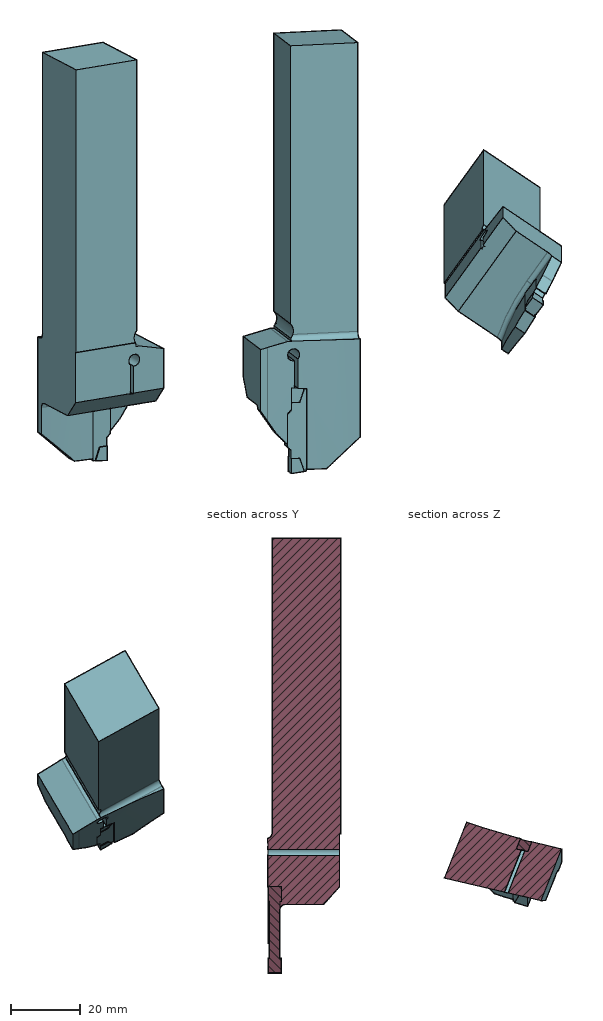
import cadquery as cq
import math

total_height = 125.0
shank_left, shank_right = 2.8, 22.5
shank_depth = 20.0
shank_base = 40.0
head_right = 22.1
head_depth = 29.1
head_floor = 19.8
ledge_height = 38.8
ledge_fillet = 1.8
corner_width, corner_height = 4.6, 5.1
head_back_low, head_back_high = 18.8, 36.8
jaw_bottom = 7.4
jaw_bend_y, jaw_bend_z = 24.5, 12.0

neck_groove_top = 43.6
neck_groove_y, neck_groove_z = 19.1, 41.5
neck_groove_end = 21.1

blade_tip = 1.06
blade_face_x, blade_face_y = 1.6, 27.1
blade_face_radius = 225.0
blade_back_x, blade_back_y = 5.0, 18.8
blade_back_radius = 66.2
blade_root_fillet = 1.5
front_bevel_depth, front_bevel_top = 9.8, 10.1
margin = 2.5

kerf_hole_y, kerf_hole_z, kerf_hole_radius = 19.4, 34.8, 1.8
kerf_front, kerf_back = 18.1, 19.1

insert_length = 25.1
insert_front, insert_back = 15.5, 20.0
belly_back = 21.1
belly_low, belly_high = 7.9, 17.5
belly_slope = 1.1
insert_end_slope = 0.5
body_left, body_right = 1.9, 5.0
tip_left, tip_right = 1.6, 5.4
tip_height = 4.4
tip_flat_front, tip_corner_front = 17.5, 16.1


def side_profile(points):
    """Closed outline of (y, z) points, ready to extrude along +X."""
    return cq.Workplane("YZ").polyline(points).close()


def arc_x(y, apex_x, apex_y, radius):
    """X of an arc that bends towards -X away from its apex."""
    return apex_x - radius + math.sqrt(radius**2 - (y - apex_y)**2)


def arc_edge(apex_x, apex_y, radius):
    """Plan curve from ahead of the front face round to the apex, then straight back."""
    start_y = -margin
    middle_y = (start_y + apex_y) / 2
    return (
        cq.Workplane("XY")
        .moveTo(arc_x(start_y, apex_x, apex_y, radius), start_y)
        .threePointArc((arc_x(middle_y, apex_x, apex_y, radius), middle_y), (apex_x, apex_y))
        .lineTo(apex_x, head_depth + margin)
    )


def make_head():
    """Thick head and thin blade as one side outline."""
    outline = (
        cq.Workplane("YZ")
        .moveTo(0, front_bevel_top)
        .lineTo(front_bevel_depth, blade_tip)
        .lineTo(insert_back, blade_tip)
        .lineTo(insert_back, jaw_bottom)
        .lineTo(jaw_bend_y, jaw_bend_z)
        .lineTo(head_depth, head_back_low)
        .lineTo(head_depth, head_back_high)
        .lineTo(neck_groove_end, ledge_height)
        .lineTo(0, ledge_height)
        .close()
    )
    return outline.extrude(head_right)


def make_shank():
    """Square shank, its neck reaching down into the head."""
    shank = cq.Workplane("XY").box(
        shank_right - shank_left, shank_depth, total_height - shank_base, centered=False
    ).translate((shank_left, 0, shank_base))
    neck_bottom = ledge_height - margin
    neck = cq.Workplane("XY").box(
        head_right - shank_left, shank_depth, shank_base - neck_bottom, centered=False
    ).translate((shank_left, 0, neck_bottom))
    return shank.union(neck)


def make_ledge_fillet():
    """Concave fillet between the ledge and the left side of the shank."""
    profile = (
        cq.Workplane("XZ")
        .moveTo(shank_left, ledge_height)
        .lineTo(shank_left, ledge_height + ledge_fillet)
        .radiusArc((shank_left - ledge_fillet, ledge_height), ledge_fillet)
        .close()
    )
    return profile.extrude(-shank_depth)


def make_neck_groove():
    """Rounded undercut where the back of the shank meets the sloping head top."""
    profile = (
        cq.Workplane("YZ")
        .moveTo(shank_depth, neck_groove_top)
        .threePointArc((neck_groove_y, neck_groove_z), (neck_groove_end, ledge_height))
        .lineTo(head_depth, neck_groove_top)
        .close()
    )
    return profile.extrude(shank_right)


def make_face_cutter():
    """Space left of the blade's curved outer face."""
    outline = (
        arc_edge(blade_face_x, blade_face_y, blade_face_radius)
        .lineTo(-margin, head_depth + margin)
        .lineTo(-margin, -margin)
        .close()
    )
    return outline.extrude(total_height)


def make_back_cutter():
    """Space under the head, right of the blade, rounded at the blade root."""
    outline = (
        arc_edge(blade_back_x, blade_back_y, blade_back_radius)
        .lineTo(shank_right + margin, head_depth + margin)
        .lineTo(shank_right + margin, -margin)
        .close()
    )
    cutter = outline.extrude(head_floor)
    root_edges = cutter.faces(">Z").edges("%CIRCLE")
    return root_edges.fillet(blade_root_fillet)


def make_corner_cutter():
    """Bevel on the lower right corner of the head."""
    triangle = (
        cq.Workplane("XZ")
        .moveTo(head_right - corner_width, head_floor)
        .lineTo(head_right, head_floor)
        .lineTo(head_right, head_floor + corner_height)
        .close()
    )
    return triangle.extrude(-head_depth)


def make_kerf():
    """Through slit above the insert, ending in a round relief hole."""
    hole = cq.Workplane("YZ").center(kerf_hole_y, kerf_hole_z).circle(kerf_hole_radius).extrude(shank_right)
    slit_bottom = insert_length - insert_end_slope
    slit = cq.Workplane("XY").box(
        shank_right, kerf_back - kerf_front, kerf_hole_z - slit_bottom, centered=False
    ).translate((0, kerf_front, slit_bottom))
    return hole.union(slit)


def make_insert_body(left):
    """Insert blank with its belly, from the given left side to the body's right side."""
    outline = side_profile([
        (insert_front, insert_end_slope),
        (insert_back, 0),
        (insert_back, belly_low - belly_slope),
        (belly_back, belly_low),
        (belly_back, belly_high),
        (insert_back, belly_high + belly_slope),
        (insert_back, insert_length),
        (insert_front, insert_length - insert_end_slope),
    ])
    return outline.extrude(body_right - left).translate((left, 0, 0))


def make_insert_tips(left):
    """The two wider cutting ends, mirrored about the middle of the insert."""
    corner_fraction = (insert_back - tip_corner_front) / (insert_back - insert_front)
    outline = side_profile([
        (insert_back, 0),
        (insert_back, tip_height),
        (tip_flat_front, tip_height),
        (tip_corner_front, insert_end_slope * corner_fraction),
    ])
    lower = outline.extrude(tip_right - left).translate((left, 0, 0))
    upper = lower.mirror("XY", (0, 0, insert_length / 2))
    return lower.union(upper)


def make_insert(body_side, tip_side):
    """Insert blank with both cutting ends."""
    return make_insert_body(body_side).union(make_insert_tips(tip_side))


def make_holder():
    """Tool holder with the insert seat open on its left face."""
    head = make_head().cut(make_back_cutter()).cut(make_corner_cutter())
    holder = head.union(make_shank()).union(make_ledge_fillet())
    holder = holder.cut(make_face_cutter())
    holder = holder.cut(make_neck_groove()).cut(make_kerf())
    return holder.cut(make_insert(0, 0))


holder = make_holder()
insert = make_insert(body_left, tip_left)
result = cq.Compound.makeCompound([holder.val(), insert.val()])